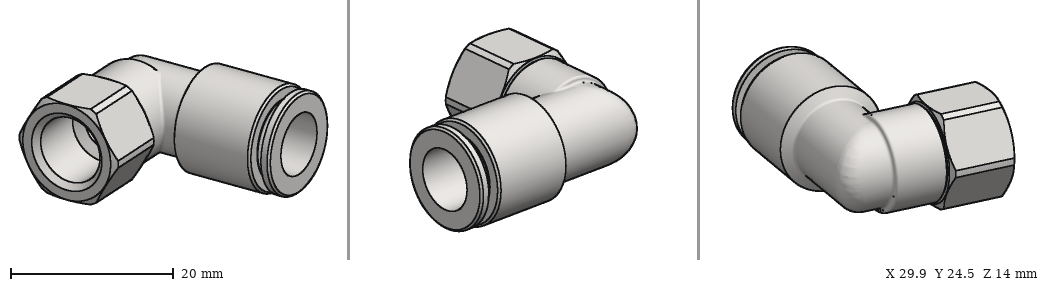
import cadquery as cq
import math


mitre_angle = 45
elbow_radius = 11.0 / 2
elbow_corner_round = 2.6
tangent_ratio = 1 - elbow_corner_round / elbow_radius

collar_radius = 12.5 / 2
collar_top_y = -1.3
collar_rim_round = 0.35
collar_blend = 0.38
collar_end_chamfer = 0.3

nut_across_flats = 13.0
nut_corner_radius = 14.5 / 2
nut_face_radius = 6.45
nut_chamfer_angle = math.radians(30)
nut_length = 9.0
nut_end_y = -17.5
nut_start_y = nut_end_y + nut_length

sleeve_radius = 14.0 / 2
sleeve_start_x = 8.95
sleeve_end_x = 20.0
sleeve_cone_angle = math.radians(60)
sleeve_blend = 0.5
sleeve_chamfer = 0.3
lip_radius = 10.6 / 2
lip_height = 0.1
lip_end_x = sleeve_end_x + lip_height

ring_neck_radius = 9.4 / 2
ring_neck_fillet = 0.15
ring_radius = 13.5 / 2
ring_thickness = 1.2
ring_chamfer = 0.3
ring_end_x = 22.7
ring_start_x = ring_end_x - ring_thickness

flow_radius = 6.0 / 2
thread_radius = 8.7 / 2
thread_mouth_radius = 10.3 / 2
thread_depth = 8.0
drill_tip_angle = math.radians(118)
tube_radius = 8.15 / 2

clearance = 30.0
edge_margin = 0.1


def cylinder_x(radius, start_x, end_x):
    """Cylinder along +X from start_x to end_x."""
    return cq.Workplane("YZ", origin=(start_x, 0, 0)).circle(radius).extrude(end_x - start_x)


def cylinder_y(radius, start_y, end_y):
    """Cylinder from start_y down to end_y (towards -Y)."""
    return cq.Workplane("XZ", origin=(0, start_y, 0)).circle(radius).extrude(start_y - end_y)


def turned_y(points):
    """Solid of revolution about Y from (radius, y) points."""
    return cq.Workplane("XY").polyline(points).close().revolve(360, (0, 0, 0), (0, 1, 0))


def vertical_prism(corners):
    """Prism along Z over an XY polygon, taller than the part on both sides."""
    return cq.Workplane("XY").polyline(corners).close().extrude(clearance, both=True)


def make_mitred_legs():
    """Two equal round legs meeting in a 45 degree mitre."""
    tube_half = [(-clearance, clearance), (clearance, clearance), (clearance, -clearance)]
    thread_half = [(-clearance, clearance), (-clearance, -clearance), (clearance, -clearance)]
    tube_leg = cylinder_x(elbow_radius, -elbow_radius, sleeve_start_x)
    thread_leg = cylinder_y(elbow_radius, elbow_radius, nut_start_y)
    return tube_leg.intersect(vertical_prism(tube_half)).union(
        thread_leg.intersect(vertical_prism(thread_half))
    )


def make_corner_cap():
    """Sector of the ellipsoid that touches both legs; its long axis points at the outer corner."""
    short_stretch = math.sqrt(1 - tangent_ratio)
    long_stretch = math.sqrt(1 + tangent_ratio)
    sector_angle = 2 * math.degrees(math.atan(short_stretch / long_stretch))
    ball_sector = cq.Workplane("XY").sphere(elbow_radius, angle3=sector_angle)
    ball_sector = ball_sector.rotate((0, 0, 0), (0, 0, 1), 90 - sector_angle / 2)
    stretch = cq.Matrix([[short_stretch, 0, 0, 0], [0, long_stretch, 0, 0], [0, 0, 1, 0]])
    cap = cq.Workplane(ball_sector.val().transformGeometry(stretch))
    return cap.rotate((0, 0, 0), (0, 0, 1), mitre_angle)


def round_elbow_corner(body):
    """Replace the sharp mitre at the outer corner by the ellipsoid that blends the legs."""
    sector = vertical_prism(
        [
            (0, 0),
            (-clearance, clearance * tangent_ratio),
            (-clearance, clearance),
            (-clearance * tangent_ratio, clearance),
        ]
    )
    cut_body = body.cut(sector)
    corner_quadrant = cq.selectors.BoxSelector((-clearance, 0, -clearance), (0, clearance, clearance))
    cut_faces = cut_body.faces("%PLANE").faces(corner_quadrant).vals()
    cap_faces = [min(make_corner_cap().faces().vals(), key=lambda face: face.Area())]
    kept_faces = [face for face in cut_body.faces().vals() if face not in cut_faces]
    shell = cq.Shell.makeShell(kept_faces + cap_faces)
    return cq.Workplane(cq.Solid.makeSolid(shell))


def add_collar(body):
    """Collar round the threaded leg with a rounded rim, blended into both legs."""
    collar = cylinder_y(collar_radius, collar_top_y, nut_start_y)
    collar = collar.faces("<Y").chamfer(collar_end_chamfer)
    collar = collar.faces(">Y").edges().fillet(collar_rim_round)
    body = body.union(collar)
    half_width = elbow_radius + edge_margin
    inner_edges = cq.selectors.BoxSelector(
        (-half_width, collar_top_y - edge_margin, -half_width),
        (half_width, collar_top_y + edge_margin, half_width),
        boundingbox=True,
    )
    return body.edges(inner_edges).fillet(collar_blend)


def make_nut():
    """Hexagon with corners turned down and both ends chamfered."""
    across_corners = nut_across_flats / math.cos(math.pi / 6)
    hexagon = (
        cq.Workplane("XZ", origin=(0, nut_start_y, 0)).polygon(6, across_corners).extrude(nut_length)
    )
    chamfer_length = (nut_corner_radius - nut_face_radius) * math.tan(nut_chamfer_angle)
    turned_blank = turned_y(
        [
            (0, nut_end_y),
            (nut_face_radius, nut_end_y),
            (nut_corner_radius, nut_end_y + chamfer_length),
            (nut_corner_radius, nut_start_y - chamfer_length),
            (nut_face_radius, nut_start_y),
            (0, nut_start_y),
        ]
    )
    return hexagon.intersect(turned_blank)


def make_sleeve():
    """Sleeve with a steep start cone blended into the leg, and a thin lip on its end face."""
    cone_length = (sleeve_radius - elbow_radius) / math.tan(sleeve_cone_angle)
    cone_start_x = sleeve_start_x - cone_length
    half_angle = sleeve_cone_angle / 2
    blend_length = sleeve_blend * math.tan(half_angle)
    blend_start_x = cone_start_x - blend_length
    blend_end_x = cone_start_x + blend_length * math.cos(sleeve_cone_angle)
    blend_end_radius = elbow_radius + blend_length * math.sin(sleeve_cone_angle)
    blend_mid_x = blend_start_x + sleeve_blend * math.sin(half_angle)
    blend_mid_radius = elbow_radius + sleeve_blend * (1 - math.cos(half_angle))
    profile = (
        cq.Workplane("XY")
        .moveTo(blend_start_x, 0)
        .lineTo(blend_start_x, elbow_radius)
        .threePointArc((blend_mid_x, blend_mid_radius), (blend_end_x, blend_end_radius))
        .lineTo(sleeve_start_x, sleeve_radius)
        .lineTo(sleeve_end_x - sleeve_chamfer, sleeve_radius)
        .lineTo(sleeve_end_x, sleeve_radius - sleeve_chamfer)
        .lineTo(sleeve_end_x, lip_radius)
        .lineTo(lip_end_x, lip_radius)
        .lineTo(lip_end_x, 0)
        .close()
    )
    return profile.revolve(360, (0, 0, 0), (1, 0, 0))


def make_release_ring():
    """Neck and flange of the release ring, with the neck filleted at both ends."""
    reach = ring_neck_radius + ring_neck_fillet
    mid_radius = reach - ring_neck_fillet * math.sin(math.pi / 4)
    mid_offset = ring_neck_fillet * (1 - math.cos(math.pi / 4))
    profile = (
        cq.Workplane("XY")
        .moveTo(lip_end_x, 0)
        .lineTo(lip_end_x, reach)
        .threePointArc(
            (lip_end_x + mid_offset, mid_radius), (lip_end_x + ring_neck_fillet, ring_neck_radius)
        )
        .lineTo(ring_start_x - ring_neck_fillet, ring_neck_radius)
        .threePointArc((ring_start_x - mid_offset, mid_radius), (ring_start_x, reach))
        .lineTo(ring_start_x, ring_radius)
        .lineTo(ring_end_x - ring_chamfer, ring_radius)
        .lineTo(ring_end_x, ring_radius - ring_chamfer)
        .lineTo(ring_end_x, 0)
        .close()
    )
    return profile.revolve(360, (0, 0, 0), (1, 0, 0))


def make_thread_bore():
    """Countersunk bore with a drill-tip floor, running on as the flow passage to the elbow."""
    mouth_depth = thread_mouth_radius - thread_radius
    floor_y = nut_end_y + thread_depth
    tip_length = (thread_radius - flow_radius) / math.tan(drill_tip_angle / 2)
    return turned_y(
        [
            (0, nut_end_y),
            (thread_mouth_radius, nut_end_y),
            (thread_radius, nut_end_y + mouth_depth),
            (thread_radius, floor_y),
            (flow_radius, floor_y + tip_length),
            (flow_radius, 0),
            (0, 0),
        ]
    )


def make_tube_bore():
    """Tube socket from the release ring to the sleeve start, then the flow passage."""
    socket = cylinder_x(tube_radius, sleeve_start_x, ring_end_x)
    return socket.union(cylinder_x(flow_radius, -flow_radius, sleeve_start_x))


body = round_elbow_corner(add_collar(make_mitred_legs()))
body = body.union(make_nut()).union(make_sleeve()).union(make_release_ring())
result = body.cut(make_thread_bore()).cut(make_tube_bore())